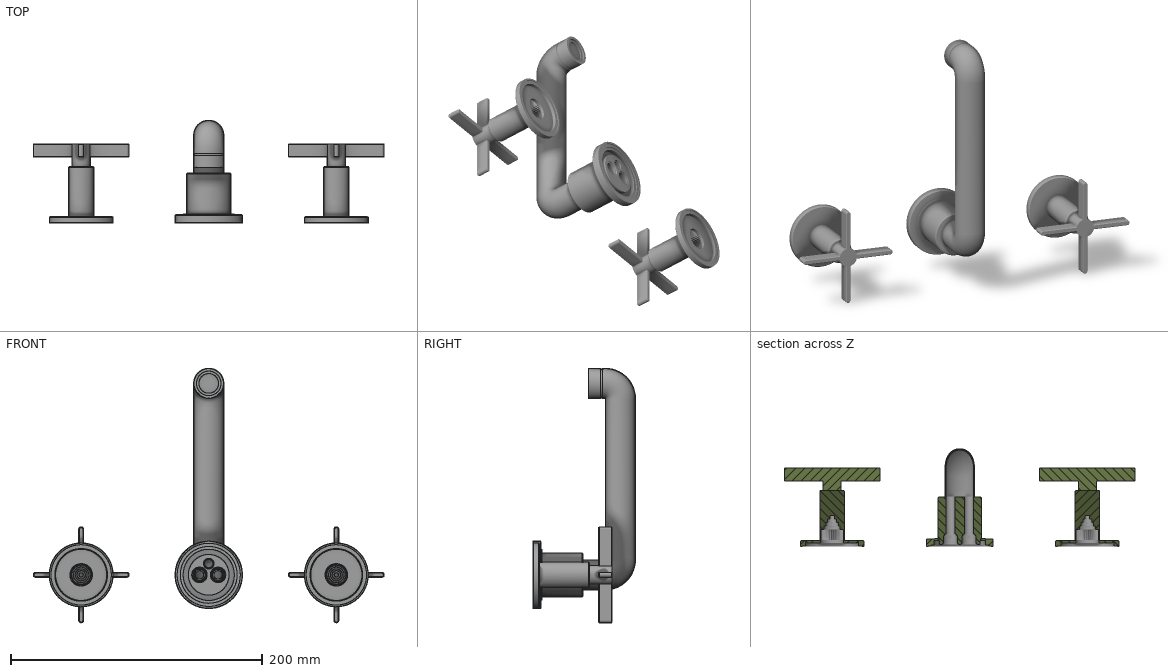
import cadquery as cq
import math


overall_width = 279.5
overall_depth = 81.5
overall_height = 202.5
handle_span = 76.3
handle_x = (overall_width - handle_span) / 2

handle_flange_radius = 25.5
handle_flange_thickness = 5.0
handle_lip_radius = 24.0
handle_lip_depth = 0.5
handle_recess_radius = 21.0
handle_groove_depth = 4.2
handle_plug_radius = 20.5
handle_plug_front_y = 2.8
handle_flange_edge_break = 0.8

sleeve_radius = 10.0
sleeve_end_y = 45.0
sleeve_edge_break = 0.8
spline_outer_radius = 9.0
spline_inner_radius = 7.3
spline_tooth_count = 36
spline_depth = 8.5
socket_radii = [6.1, 4.7, 3.4, 1.7]
socket_step_length = 2.8

hub_radius = 7.4
blade_front_y = 52.2
blade_back_y = 63.0
blade_thickness = 4.0
blade_edge_break = 0.5

spout_flange_radius = 26.8
spout_flange_thickness = 6.5
spout_flange_edge_break = 0.5
spout_collar_radius = 20.0
spout_collar_end_y = 7.0
spout_recesses = [(25.1, 0.5), (22.5, 1.5), (20.5, 4.7)]

spout_body_radius = 17.5
spout_body_end_y = 39.7
spout_body_edge_break = 0.8
spigot_radius = 16.2
spigot_front_y = 1.7
port_offset = 7.4
port_steps = [(6.1, 0.8), (5.3, 7.0), (4.5, 8.5)]
port_bore_radius = 3.4
pilot_z = 9.0
pilot_mouth_radius = 4.2
pilot_mouth_depth = 1.7
pilot_radius = 3.4
pilot_depth = 11.2
pilot_point_length = 2.2

pipe_radius = 12.0
pipe_bore_radius = 11.0
bend_radius = 12.3
pipe_y = overall_depth - pipe_radius
outlet_z = overall_height - handle_span / 2 - pipe_radius
pipe_end_y = 55.3

outlet_front_y = 44.1
outlet_neck_start_y = 53.6
outlet_neck_radius = 11.5
outlet_recesses = [(9.8, 1.5), (7.8, 2.5)]


def disc(radius, start_y, end_y, x=0.0, z=0.0):
    """Cylinder along Y, from start_y to end_y."""
    plane = cq.Plane(origin=(x, start_y, z), xDir=(1, 0, 0), normal=(0, 1, 0))
    return cq.Workplane(plane).circle(radius).extrude(end_y - start_y)


def bore_from(front_y, body, steps, x=0.0, z=0.0):
    """Cut coaxial bores, each given as (radius, depth), into a face at front_y."""
    for radius, depth in steps:
        body = body.cut(disc(radius, front_y, front_y + depth, x, z))
    return body


def make_handle_flange():
    flange = disc(handle_flange_radius, 0, handle_flange_thickness)
    flange = flange.faces(">Y").edges().chamfer(handle_flange_edge_break)
    steps = [
        (handle_lip_radius, handle_lip_depth),
        (handle_recess_radius, handle_groove_depth),
    ]
    flange = bore_from(0, flange, steps)
    flange = flange.union(disc(handle_plug_radius, handle_plug_front_y, handle_flange_thickness))
    return flange.cut(disc(spline_outer_radius, 0, handle_flange_thickness))


def make_spline_cutter():
    """Toothed prism whose flanks run straight between the outer and inner radii."""
    points = []
    for i in range(2 * spline_tooth_count):
        angle = math.pi * i / spline_tooth_count
        radius = spline_outer_radius if i % 2 == 0 else spline_inner_radius
        points.append((radius * math.cos(angle), radius * math.sin(angle)))
    plane = cq.Plane(origin=(0, handle_flange_thickness, 0), xDir=(1, 0, 0), normal=(0, 1, 0))
    return cq.Workplane(plane).polyline(points).close().extrude(spline_depth)


def make_sleeve():
    sleeve = disc(sleeve_radius, handle_flange_thickness, sleeve_end_y)
    sleeve = sleeve.faces(">Y").edges().chamfer(sleeve_edge_break)
    sleeve = sleeve.cut(make_spline_cutter())
    socket_y = handle_flange_thickness + spline_depth
    steps = [(radius, (i + 1) * socket_step_length) for i, radius in enumerate(socket_radii)]
    return bore_from(socket_y, sleeve, steps)


def make_cross():
    """Hub with two crossed bars that have fully rounded tips."""
    cross = disc(hub_radius, sleeve_end_y, blade_back_y)
    plane = cq.Plane(origin=(0, blade_front_y, 0), xDir=(1, 0, 0), normal=(0, 1, 0))
    bar = cq.Workplane(plane).slot2D(handle_span, blade_thickness).extrude(blade_back_y - blade_front_y)
    bar = bar.faces("<Y or >Y").chamfer(blade_edge_break)
    for angle in (0, 90):
        cross = cross.union(bar.rotate((0, 0, 0), (0, 1, 0), angle))
    return cross


def make_spout_flange():
    flange = disc(spout_flange_radius, 0, spout_flange_thickness)
    flange = flange.faces(">Y").edges().chamfer(spout_flange_edge_break)
    flange = flange.union(disc(spout_collar_radius, 0, spout_collar_end_y))
    flange = bore_from(0, flange, spout_recesses + [(spigot_radius, spout_flange_thickness)])
    return flange.cut(disc(spout_body_radius, spout_flange_thickness, spout_collar_end_y))


def make_pilot_cutter():
    """Pilot hole with a wider mouth and a drill point at its end."""
    mouth_end_y = spigot_front_y + pilot_mouth_depth
    drill_end_y = spigot_front_y + pilot_depth
    profile = [
        (0, spigot_front_y),
        (pilot_mouth_radius, spigot_front_y),
        (pilot_mouth_radius, mouth_end_y),
        (pilot_radius, mouth_end_y),
        (pilot_radius, drill_end_y),
        (0, drill_end_y + pilot_point_length),
    ]
    cutter = cq.Workplane("XY").polyline(profile).close().revolve(360, (0, 0, 0), (0, 1, 0))
    return cutter.translate((0, 0, pilot_z))


def make_spout_body():
    body = disc(spout_body_radius, spout_flange_thickness, spout_body_end_y)
    body = body.faces(">Y").edges().chamfer(spout_body_edge_break)
    body = body.union(disc(spigot_radius, spigot_front_y, spout_flange_thickness))
    through_bore = (port_bore_radius, spout_body_end_y - spigot_front_y)
    for x in (-port_offset, port_offset):
        body = bore_from(spigot_front_y, body, port_steps + [through_bore], x)
    return body.cut(make_pilot_cutter())


def make_spout_pipe():
    """Hollow pipe that leaves the body along Y, rises along Z and turns back toward the wall."""
    path = (
        cq.Workplane("YZ")
        .moveTo(spout_body_end_y, 0)
        .lineTo(pipe_y - bend_radius, 0)
        .radiusArc((pipe_y, bend_radius), -bend_radius)
        .lineTo(pipe_y, outlet_z - bend_radius)
        .radiusArc((pipe_y - bend_radius, outlet_z), -bend_radius)
        .lineTo(pipe_end_y, outlet_z)
    )
    start = cq.Plane(origin=(0, spout_body_end_y, 0), xDir=(1, 0, 0), normal=(0, 1, 0))
    return cq.Workplane(start).circle(pipe_radius).circle(pipe_bore_radius).sweep(path)


def make_outlet():
    outlet = disc(pipe_radius, outlet_front_y, outlet_neck_start_y, 0, outlet_z)
    outlet = outlet.union(disc(outlet_neck_radius, outlet_neck_start_y, pipe_end_y, 0, outlet_z))
    return bore_from(outlet_front_y, outlet, outlet_recesses, 0, outlet_z)


bodies = [
    make_spout_flange().val(),
    make_spout_body().val(),
    make_spout_pipe().val(),
    make_outlet().val(),
]
for x in (-handle_x, handle_x):
    for make_body in (make_handle_flange, make_sleeve, make_cross):
        bodies.append(make_body().translate((x, 0, 0)).val())

result = cq.Compound.makeCompound(bodies)